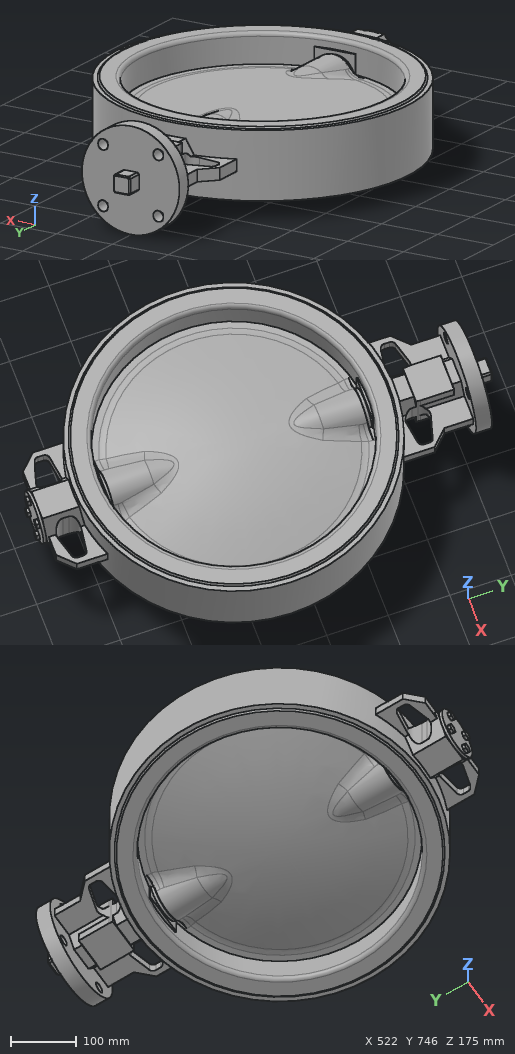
import cadquery as cq
import math


body_radius = 261.0
body_half_height = 57.0
liner_half_height = 59.7
liner_foot_radius = 253.0
liner_rim_radius = 250.0
bore_radius = 218.0
bore_lip_fillet = 7.0
pad_half_width = 36.6
pad_half_height = 41.0
pad_face_y = 213.0

disc_rim_half_thickness = 7.5
disc_overlap = 10.0
dome_sphere_radius = 650.0
dome_edge_radius = 196.0
dome_foot_radius = 207.0
dome_apex_height = 39.5
hub_radius = 37.0
hub_shoulder_y = 138.0
nose_end_y = 80.0
nose_slope = 0.1
hub_fillet = 30.0
hub_end_y = 207.0
stem_journal_radius = 35.0

lug_thickness = 20.0
lug_half_width = 100.0
lug_root_y = 225.0
lug_chamfer = 25.0
lug_shoulder_y = 291.0
lug_end_y = lug_shoulder_y + lug_chamfer
window_inner_x = 30.0
window_outer_x = 90.0
window_inner_y = (262.0, 309.0)
window_outer_y = (270.5, 292.0)
window_inner_fillet = 15.0
window_outer_fillet = 8.0

top_neck_across_flats = 70.0
flange_radius = 87.5
flange_start_y = 363.0
flange_end_y = 389.0
flange_hole_diameter = 18.0
flange_bolt_circle_radius = 70.0
stem_width = 30.0
stem_end_y = 416.0
stem_edge_chamfer = 3.0
stem_tip_chamfer = 2.0
nameplate_width = 61.0
nameplate_height = 74.0
nameplate_start_y = 286.0
nameplate_end_y = 348.0

bottom_neck_across_flats = 84.0
bottom_neck_end_y = 320.0
cover_radius = 42.5
cover_end_y = 325.0
screw_head_across_flats = 14.0
screw_head_end_y = 330.0
screw_offset = 20.5


def along_y(start_y):
    """Workplane facing +Y, with local X along -X and local Y along Z."""
    return cq.Workplane("XZ", origin=(0, start_y, 0)).transformed(rotate=(0, 180, 0))


def corner_diameter(across_flats):
    """Diameter across the corners of a hexagon."""
    return across_flats / math.cos(math.radians(30))


def make_body():
    """Ring with a raised liner face and rounded bore lip on both ends."""
    lip_start = liner_half_height - bore_lip_fillet
    lip_radius = bore_radius + bore_lip_fillet
    lip_bulge = bore_lip_fillet * math.sqrt(0.5)
    lip_mid_radius = lip_radius - lip_bulge
    lip_mid_height = lip_start + lip_bulge
    profile = (
        cq.Workplane("XZ")
        .moveTo(bore_radius, -lip_start)
        .lineTo(bore_radius, lip_start)
        .threePointArc((lip_mid_radius, lip_mid_height), (lip_radius, liner_half_height))
        .lineTo(liner_rim_radius, liner_half_height)
        .lineTo(liner_foot_radius, body_half_height)
        .lineTo(body_radius, body_half_height)
        .lineTo(body_radius, -body_half_height)
        .lineTo(liner_foot_radius, -body_half_height)
        .lineTo(liner_rim_radius, -liner_half_height)
        .lineTo(lip_radius, -liner_half_height)
        .threePointArc((lip_mid_radius, -lip_mid_height), (bore_radius, -lip_start))
        .close()
    )
    return profile.revolve(360, (0, 0, 0), (0, 1, 0))


def make_hub_pads():
    """Flat-faced pads on the bore wall around the two hubs."""
    depth = lug_root_y - pad_face_y
    pads = cq.Workplane("XY")
    for side in (1, -1):
        centre_y = side * (pad_face_y + depth / 2)
        pads = pads.union(
            cq.Workplane("XY")
            .box(2 * pad_half_width, depth, 2 * pad_half_height)
            .translate((0, centre_y, 0))
        )
    return pads


def dome_height(radius):
    """Height of the spherical disc face at a distance from the disc centre."""
    drop = dome_sphere_radius - math.sqrt(dome_sphere_radius**2 - radius**2)
    return dome_apex_height - drop


def make_disc():
    """Lens-shaped disc, domed on both faces, with a flat rim sunk into the body."""
    rim_radius = bore_radius + disc_overlap
    edge_height = dome_height(dome_edge_radius)
    middle_radius = dome_edge_radius / 2
    half = (
        cq.Workplane("XZ")
        .moveTo(0, 0)
        .lineTo(rim_radius, 0)
        .lineTo(rim_radius, disc_rim_half_thickness)
        .lineTo(dome_foot_radius, disc_rim_half_thickness)
        .tangentArcPoint((dome_edge_radius, edge_height), relative=False)
        .threePointArc((middle_radius, dome_height(middle_radius)), (0, dome_apex_height))
        .close()
        .revolve(360, (0, 0, 0), (0, 1, 0))
    )
    return half.union(half.mirror("XY"))


def make_hub():
    """Round hub on +Y with a slightly tapered nose that dies into the dome."""
    nose_radius = hub_radius - nose_slope * (hub_shoulder_y - nose_end_y)
    sunk_end_y = bore_radius + disc_overlap
    return (
        cq.Workplane("XY")
        .moveTo(0, nose_end_y)
        .lineTo(nose_radius, nose_end_y)
        .lineTo(hub_radius, hub_shoulder_y)
        .lineTo(hub_radius, sunk_end_y)
        .lineTo(0, sunk_end_y)
        .close()
        .revolve(360, (0, 0, 0), (0, 1, 0))
    )


def add_hubs(disc):
    """Fuse both hubs to the disc and blend them into its faces."""
    hub = make_hub()
    fused = disc.union(hub).union(hub.mirror("XZ"))

    def is_hub_root(edge):
        centre = edge.Center()
        runs_along_y = edge.BoundingBox().ylen > 1
        on_disc_face = abs(centre.z) > disc_rim_half_thickness / 2
        beside_hub = abs(centre.x) < hub_radius
        beyond_nose = nose_end_y < abs(centre.y) < bore_radius
        return runs_along_y and on_disc_face and beside_hub and beyond_nose

    return fused.edges().filter(is_hub_root).fillet(hub_fillet)


def make_hub_relief():
    """Space on +Y between the hub end face and the pad, around the stem journal."""
    outer_half_size = hub_radius + hub_fillet
    length = bore_radius + disc_overlap - hub_end_y
    middle_y = hub_end_y + length / 2
    block = cq.Workplane("XY").box(2 * outer_half_size, length, 2 * outer_half_size)
    rim = cq.Workplane("XY").box(2 * outer_half_size, length, 2 * disc_rim_half_thickness)
    journal = along_y(-length / 2).circle(stem_journal_radius).extrude(length)
    return block.cut(rim).cut(journal).translate((0, middle_y, 0))


def make_finished_disc():
    """Disc with blended hubs that stop just short of the bore pads."""
    relief = make_hub_relief()
    return add_hubs(make_disc()).cut(relief).cut(relief.mirror("XZ"))


def make_lug():
    """Flat lug plate on +Y with its two outer corners cut off."""
    length = lug_end_y - lug_root_y
    return (
        cq.Workplane("XY")
        .box(2 * lug_half_width, length, lug_thickness)
        .translate((0, (lug_root_y + lug_end_y) / 2, 0))
        .edges("|Z and >Y")
        .chamfer(lug_chamfer)
    )


def make_lug_windows():
    """Pair of tapered openings beside the +Y neck, cut right through in Z."""
    window = (
        cq.Workplane("XY", origin=(0, 0, -body_half_height))
        .moveTo(window_inner_x, window_inner_y[0])
        .lineTo(window_outer_x, window_outer_y[0])
        .lineTo(window_outer_x, window_outer_y[1])
        .lineTo(window_inner_x, window_inner_y[1])
        .close()
        .extrude(2 * body_half_height)
        .edges("|Z and <X")
        .fillet(window_inner_fillet)
        .edges("|Z and >X")
        .fillet(window_outer_fillet)
    )
    return window.union(window.mirror("YZ"))


def hex_bar(across_flats, start_y, end_y):
    """Hexagonal bar along Y with flats facing +Z and -Z."""
    return (
        along_y(start_y)
        .polygon(6, corner_diameter(across_flats))
        .extrude(end_y - start_y)
    )


def make_actuator_side():
    """Lug, neck, nameplate block, mounting flange and square stem on +Y."""
    neck = hex_bar(top_neck_across_flats, lug_root_y, flange_start_y)
    lug_extension_length = flange_start_y - lug_root_y
    lug_extension = (
        cq.Workplane("XY")
        .box(2 * (lug_half_width - lug_chamfer), lug_extension_length, lug_thickness)
        .translate((0, (lug_root_y + flange_start_y) / 2, 0))
    )
    nameplate_length = nameplate_end_y - nameplate_start_y
    nameplate = (
        cq.Workplane("XY")
        .box(nameplate_width, nameplate_length, nameplate_height)
        .translate((0, (nameplate_start_y + nameplate_end_y) / 2, 0))
    )
    flange = (
        along_y(flange_start_y)
        .circle(flange_radius)
        .polarArray(flange_bolt_circle_radius, 45, 360, 4)
        .circle(flange_hole_diameter / 2)
        .extrude(flange_end_y - flange_start_y)
    )
    stem = (
        along_y(flange_end_y)
        .rect(stem_width, stem_width)
        .extrude(stem_end_y - flange_end_y)
        .edges("|Y")
        .chamfer(stem_edge_chamfer)
        .faces(">Y")
        .chamfer(stem_tip_chamfer)
    )
    support = make_lug().union(lug_extension).union(neck).union(nameplate)
    return support.cut(make_lug_windows()).union(flange).union(stem)


def make_cover_side():
    """Lug, neck, round cover and four hexagon screw heads on -Y."""
    neck = hex_bar(bottom_neck_across_flats, -bottom_neck_end_y, -lug_root_y)
    support = make_lug().mirror("XZ").union(neck).cut(make_lug_windows().mirror("XZ"))
    cover = (
        along_y(-cover_end_y)
        .circle(cover_radius)
        .extrude(cover_end_y - bottom_neck_end_y)
    )
    screw_heads = (
        along_y(-screw_head_end_y)
        .rect(2 * screw_offset, 2 * screw_offset, forConstruction=True)
        .vertices()
        .polygon(6, corner_diameter(screw_head_across_flats))
        .extrude(screw_head_end_y - cover_end_y)
    )
    return support.union(cover).union(screw_heads)


result = (
    make_body()
    .union(make_hub_pads())
    .union(make_finished_disc())
    .union(make_actuator_side())
    .union(make_cover_side())
)